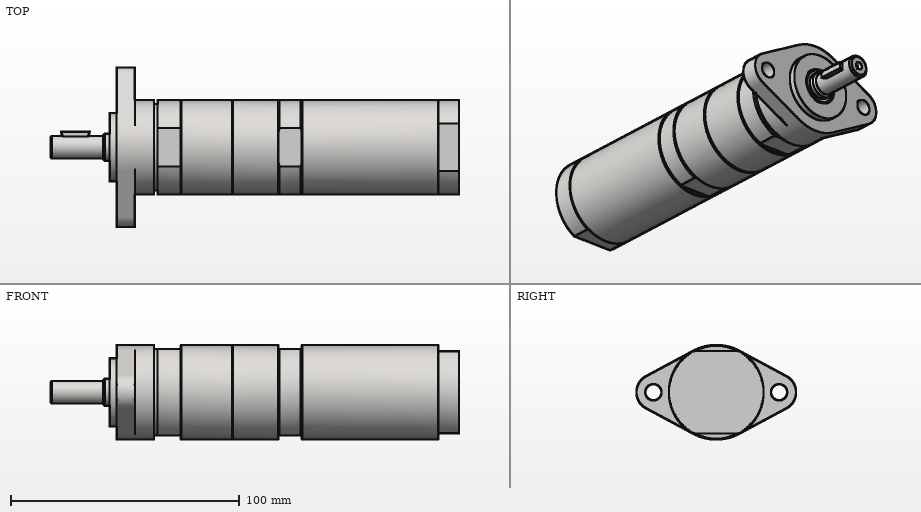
import cadquery as cq
import math

TOTAL_LENGTH = 179.0
BODY_DIAMETER = 41.5

COLLAR_START = 23.0
PILOT_START = 26.0
FLANGE_START = 29.0
FLANGE_THICKNESS = 8.0
HEAD_END = 45.5
FIRST_FLAT_START = 47.0
FIRST_STAGE_START = 57.0
SECOND_STAGE_START = 79.5
SECOND_STAGE_END = 100.0
MOTOR_START = 110.0
MOTOR_END = 170.0

SHAFT_DIAMETER = 10.0
SHAFT_CHAMFER = 0.8
COLLAR_DIAMETER = 12.0
CENTRE_DRILL_DIAMETER = 1.6
CENTRE_CONE_DIAMETER = 3.35
CENTRE_DRILL_DEPTH = 3.5
CENTRE_CONE_ANGLE = 60.0

KEY_CENTRE = 11.0
KEY_DISC_DIAMETER = 13.0
KEY_HEIGHT = 5.0
KEY_WIDTH = 3.0
KEY_PROTRUSION = 1.8

PILOT_DIAMETER = 30.0
SEAL_GROOVE_OUTER_DIAMETER = 16.0
SEAL_GROOVE_INNER_DIAMETER = 15.0
SEAL_GROOVE_DEPTH = 1.0

MOUNTING_HOLE_DIAMETER = 7.0
MOUNTING_HOLE_SPACING = 55.0
FLANGE_SPAN = 70.0
FLANGE_EAR_RADIUS = 8.0

HEAD_GROOVE_DIAMETER = 37.99
EDGE_CHAMFER = 0.4
WRENCH_FLAT_WIDTH = 38.0
END_CAP_FLAT_WIDTH = 36.0


def cylinder(diameter, start, end):
    """Cylinder on the X axis between two axial stations."""
    return cq.Workplane("YZ", origin=(start, 0, 0)).circle(diameter / 2).extrude(end - start)


def cut_flats(section, flat_width):
    """Keep the part of a body section between two flats facing +Z and -Z."""
    slab_length = 2 * TOTAL_LENGTH
    slab = cq.Workplane("XY").box(slab_length, BODY_DIAMETER, flat_width)
    return section.intersect(slab)


def make_ear():
    """Flange ear on the +Y side: straight flanks tangent to the body circle and to the ear arc."""
    body_radius = BODY_DIAMETER / 2
    ear_centre = FLANGE_SPAN / 2 - FLANGE_EAR_RADIUS
    sine = (body_radius - FLANGE_EAR_RADIUS) / ear_centre
    cosine = math.sqrt(1 - sine ** 2)
    body_y = body_radius * sine
    body_z = body_radius * cosine
    ear_y = ear_centre + FLANGE_EAR_RADIUS * sine
    ear_z = FLANGE_EAR_RADIUS * cosine
    return (
        cq.Workplane("YZ", origin=(FLANGE_START, 0, 0))
        .moveTo(body_y, body_z)
        .lineTo(ear_y, ear_z)
        .threePointArc((FLANGE_SPAN / 2, 0), (ear_y, -ear_z))
        .lineTo(body_y, -body_z)
        .close()
        .extrude(FLANGE_THICKNESS)
    )


def make_mounting_holes():
    return (
        cq.Workplane("YZ", origin=(FLANGE_START, 0, 0))
        .pushPoints([(-MOUNTING_HOLE_SPACING / 2, 0), (MOUNTING_HOLE_SPACING / 2, 0)])
        .circle(MOUNTING_HOLE_DIAMETER / 2)
        .extrude(FLANGE_THICKNESS)
    )


def make_front_end():
    """Gearbox head with its two flange ears and grooved pilot boss."""
    head = cylinder(BODY_DIAMETER, FLANGE_START, HEAD_END)
    ear = make_ear()
    flanged_head = head.union(ear).union(ear.mirror("XZ")).cut(make_mounting_holes())
    pilot = cylinder(PILOT_DIAMETER, PILOT_START, FLANGE_START)
    groove_end = PILOT_START + SEAL_GROOVE_DEPTH
    seal = cylinder(SEAL_GROOVE_INNER_DIAMETER, PILOT_START, groove_end)
    groove = cylinder(SEAL_GROOVE_OUTER_DIAMETER, PILOT_START, groove_end).cut(seal)
    return flanged_head.union(pilot.cut(groove))


def make_housing():
    """Gear stages, motor tube and the flatted sections between and behind them."""
    rims = "%CIRCLE"
    first_stage = cylinder(BODY_DIAMETER, FIRST_STAGE_START, SECOND_STAGE_START)
    second_stage = cylinder(BODY_DIAMETER, SECOND_STAGE_START, SECOND_STAGE_END)
    wrench_section = cylinder(BODY_DIAMETER, SECOND_STAGE_END, MOTOR_START).edges(rims).chamfer(EDGE_CHAMFER)
    sections = (
        cylinder(HEAD_GROOVE_DIAMETER, HEAD_END, FIRST_FLAT_START),
        cut_flats(cylinder(BODY_DIAMETER, FIRST_FLAT_START, FIRST_STAGE_START), WRENCH_FLAT_WIDTH),
        first_stage.faces("<X").edges().chamfer(EDGE_CHAMFER),
        second_stage.edges(rims).chamfer(EDGE_CHAMFER),
        cut_flats(wrench_section, WRENCH_FLAT_WIDTH),
        cylinder(BODY_DIAMETER, MOTOR_START, MOTOR_END).edges(rims).chamfer(EDGE_CHAMFER),
        cut_flats(cylinder(BODY_DIAMETER, MOTOR_END, TOTAL_LENGTH), END_CAP_FLAT_WIDTH),
    )
    housing = sections[0]
    for section in sections[1:]:
        housing = housing.union(section)
    return housing


def make_shaft():
    """Output shaft with a chamfered tip and a chamfered collar at the seal."""
    shaft = cylinder(SHAFT_DIAMETER, 0, COLLAR_START).faces("<X").chamfer(SHAFT_CHAMFER)
    collar = cylinder(COLLAR_DIAMETER, COLLAR_START, PILOT_START)
    collar = collar.faces("<X").chamfer((COLLAR_DIAMETER - SHAFT_DIAMETER) / 2)
    return shaft.union(collar)


def make_centre_hole():
    """Revolved 60-degree centre hole in the shaft tip."""
    drill_radius = CENTRE_DRILL_DIAMETER / 2
    cone_radius = CENTRE_CONE_DIAMETER / 2
    cone_depth = (cone_radius - drill_radius) / math.tan(math.radians(CENTRE_CONE_ANGLE / 2))
    return (
        cq.Workplane("XY")
        .polyline([
            (0, 0),
            (0, cone_radius),
            (cone_depth, drill_radius),
            (CENTRE_DRILL_DEPTH, drill_radius),
            (CENTRE_DRILL_DEPTH, 0),
        ])
        .close()
        .revolve(360, (0, 0, 0), (1, 0, 0))
    )


def make_key():
    """Woodruff key: a disc segment with its flat outward, seated in the +Y side of the shaft."""
    flat_y = SHAFT_DIAMETER / 2 + KEY_PROTRUSION
    disc_y = flat_y - KEY_HEIGHT + KEY_DISC_DIAMETER / 2
    disc = (
        cq.Workplane("XY")
        .center(KEY_CENTRE, disc_y)
        .circle(KEY_DISC_DIAMETER / 2)
        .extrude(KEY_WIDTH / 2, both=True)
    )
    below_flat = (
        cq.Workplane("XY")
        .box(KEY_DISC_DIAMETER, KEY_HEIGHT, KEY_WIDTH)
        .translate((KEY_CENTRE, flat_y - KEY_HEIGHT / 2, 0))
    )
    return disc.intersect(below_flat)


shaft = make_shaft().cut(make_centre_hole()).union(make_key())
result = make_front_end().union(make_housing()).union(shaft)